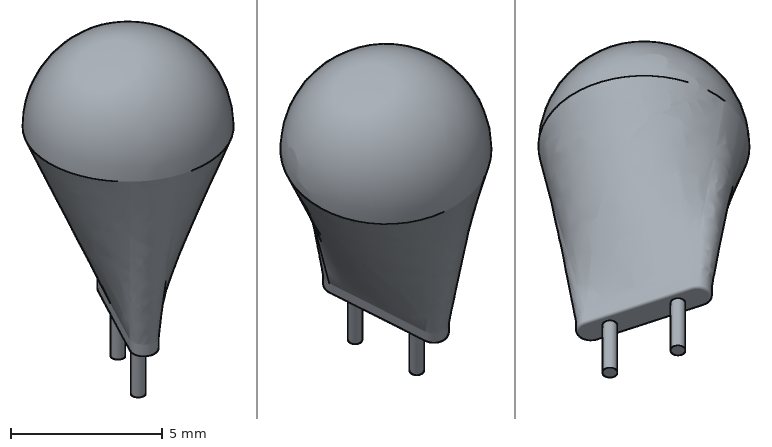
import cadquery as cq
import math

total_height = 13.1
dome_diameter = 7.0
neck_height = 7.0
base_height = 0.5
base_straight = 3.9
base_thickness = 1.0
base_edge_fillet = 0.1
pin_diameter = 0.5
pin_pitch = 2.5
mark_offset = -1.75
mark_span = 2.37
mark_arm_width = 0.8

dome_radius = dome_diameter / 2
end_radius = base_thickness / 2
dome_level = total_height - dome_radius
neck_level = dome_level - neck_height
base_level = neck_level - base_height


def base_outline():
    """Flat-sided neck outline with a half circle at each end."""
    half_straight = base_straight / 2
    tip_x = half_straight + end_radius
    outline = cq.Workplane("XY", origin=(0, 0, neck_level)).moveTo(-half_straight, -end_radius)
    outline = outline.lineTo(half_straight, -end_radius)
    outline = outline.threePointArc((tip_x, 0), (half_straight, end_radius))
    outline = outline.lineTo(-half_straight, end_radius)
    outline = outline.threePointArc((-tip_x, 0), (-half_straight, -end_radius))
    return outline.close().wire().val()


def dome_outline():
    """Circle split into four arcs, in line with the corners of the base outline."""
    corner_angle = math.atan2(end_radius, base_straight / 2)
    corner_x = dome_radius * math.cos(corner_angle)
    corner_y = dome_radius * math.sin(corner_angle)
    outline = cq.Workplane("XY", origin=(0, 0, dome_level)).moveTo(-corner_x, -corner_y)
    outline = outline.threePointArc((0, -dome_radius), (corner_x, -corner_y))
    outline = outline.threePointArc((dome_radius, 0), (corner_x, corner_y))
    outline = outline.threePointArc((0, dome_radius), (-corner_x, corner_y))
    outline = outline.threePointArc((-dome_radius, 0), (-corner_x, -corner_y))
    return outline.close().wire().val()


def make_dome():
    """Upper half of a sphere."""
    return cq.Workplane("XY", origin=(0, 0, dome_level)).sphere(dome_radius, angle1=0)


def make_neck():
    """Ruled transition from the flat base to the round dome."""
    return cq.Workplane(cq.Solid.makeLoft([base_outline(), dome_outline()], True))


def make_base():
    """Thin rounded block with a softened lower edge."""
    block = cq.Workplane("XY", origin=(0, 0, base_level))
    block = block.slot2D(base_straight + base_thickness, base_thickness).extrude(base_height)
    return block.faces("<Z").edges().fillet(base_edge_fillet)


def make_pins():
    """Two round leads reaching down to Z = 0."""
    pin_places = [(-pin_pitch / 2, 0), (pin_pitch / 2, 0)]
    return cq.Workplane("XY").pushPoints(pin_places).circle(pin_diameter / 2).extrude(base_level)


def imprint_marks(body):
    """Outline a flush plus sign on the front and back surfaces."""
    plane = cq.Workplane("XZ", origin=(mark_offset, 0, dome_level))
    across = plane.slot2D(mark_span, mark_arm_width).extrude(dome_radius, both=True)
    upright = plane.slot2D(mark_span, mark_arm_width, 90).extrude(dome_radius, both=True)
    plus = across.union(upright)
    return body.cut(plus).union(body.intersect(plus), clean=False)


body = make_dome().union(make_neck()).union(make_base()).union(make_pins())
result = imprint_marks(body)